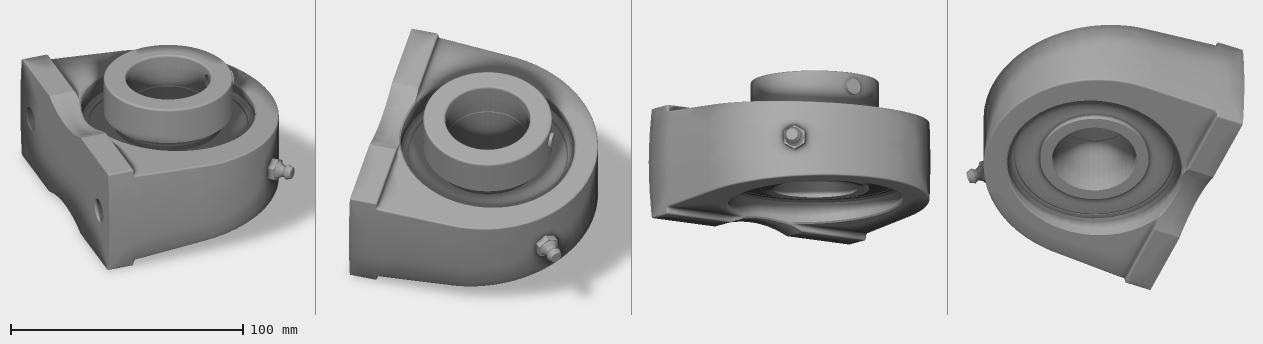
import cadquery as cq
import math


CLEARANCE = 5.4

TOLERANCE = 0.01
FACES_UP_OR_DOWN = 0.9

BASE_DEPTH = 47.6
BACK_DEPTH = 47.4
HALF_WIDTH = 54.0
FOOT_THICKNESS = 12.0
STEP_Y = FOOT_THICKNESS - BASE_DEPTH
FOOT_HALF_HEIGHT = 24.0
STEP_HALF_HEIGHT = 21.1
BACK_HALF_HEIGHT = 15.7
SHOULDER_HALF_WIDTH = 53.0
SHOULDER_Y = -4.3
SIDE_BULGE = 1.6
TAPER_START = 12.2
TAPER_START_OUTER = 16.8
EDGE_ROUND = 0.8
ROOT_ROUND = 0.9

WAIST_DEPTH = 4.0
WAIST_HALF_WIDTH = 19.0

MOUNT_HOLE_X = 41.4
MOUNT_HOLE_DIAMETER = 10.6
MOUNT_HOLE_DEPTH = 19.4
DRILL_HALF_ANGLE = math.radians(59)

RECESS_RADIUS = 37.6
RECESS_FLOOR_RADIUS = 36.6
RECESS_CHAMFER = 0.6
SEAT_SPHERE_RADIUS = 36.3

OUTER_RING_HALF_HEIGHT = 10.7
OUTER_RING_BORE_RADIUS = 29.5
OUTER_RING_CHAMFER = 0.6
SEAT_EDGE_RADIUS = math.sqrt(SEAT_SPHERE_RADIUS**2 - OUTER_RING_HALF_HEIGHT**2)

SIDES = (1, -1)
SEAL_RADIUS = 62.5 / 2
SEAL_THICKNESS = 1.6

BORE_RADIUS = 36.5 / 2
INNER_RING_TOP = 18.8
INNER_RING_RADIUS = 46.8 / 2
INNER_RING_LAND_TOP = 13.1
NECK_RADIUS = 44.2 / 2
INNER_BORE_CHAMFER = 0.4

COLLAR_RADIUS = 55.6 / 2
COLLAR_TOP = 33.9
COLLAR_BOTTOM = 17.3
COLLAR_ROUND = 1.0

SCREW_RADIUS = 6.8 / 2
SCREW_Z = 27.5
SCREW_INNER_END = 25.1
SCREW_OUTER_END = 29.2

NIPPLE_ANGLE = 45.0
STEM_RADIUS = 6.0 / 2
STEM_START = 44.3
HEX_START = 49.1
HEX_END = 52.1
HEX_CORNER_DIAMETER = 10.3
CONE_RADIUS = 4.1
CONE_END = 53.9
CONE_END_RADIUS = 2.8
NECK_WAIST = 55.2
NECK_WAIST_RADIUS = 2.4
HEAD_START = 56.5
HEAD_RADIUS = 3.3
NIPPLE_TIP = 58.6
NIPPLE_TIP_RADIUS = 2.5


def side_outline(height):
    """Plan outline of the housing at a height; the sides bow outwards towards mid height."""
    level = (height / FOOT_HALF_HEIGHT) ** 2
    inset = SIDE_BULGE * level
    foot_x = HALF_WIDTH - inset
    shoulder_x = SHOULDER_HALF_WIDTH - inset
    taper_y = TAPER_START + (TAPER_START_OUTER - TAPER_START) * level - BASE_DEPTH
    return (
        cq.Workplane("XY", origin=(0, 0, height))
        .moveTo(-foot_x, -BASE_DEPTH)
        .lineTo(foot_x, -BASE_DEPTH)
        .lineTo(foot_x, taper_y)
        .lineTo(shoulder_x, SHOULDER_Y)
        .threePointArc((0, BACK_DEPTH), (-shoulder_x, SHOULDER_Y))
        .lineTo(-foot_x, taper_y)
        .close()
        .val()
    )


def housing_blank():
    heights = (-FOOT_HALF_HEIGHT, 0, FOOT_HALF_HEIGHT)
    walls = cq.Workplane(cq.Solid.makeLoft([side_outline(height) for height in heights]))
    taper = (STEP_HALF_HEIGHT - BACK_HALF_HEIGHT) / (BACK_DEPTH - STEP_Y)
    beyond_back = BACK_DEPTH + CLEARANCE
    upper_points = [
        (-BASE_DEPTH, FOOT_HALF_HEIGHT),
        (STEP_Y, FOOT_HALF_HEIGHT),
        (STEP_Y, STEP_HALF_HEIGHT),
        (beyond_back, BACK_HALF_HEIGHT - taper * (beyond_back - BACK_DEPTH)),
    ]
    lower_points = [(y, -z) for y, z in reversed(upper_points)]
    profile = (
        cq.Workplane("YZ").polyline(upper_points + lower_points).close().extrude(2 * HALF_WIDTH, both=True)
    )
    return walls.intersect(profile)


def within(half_x, y_limits, half_z):
    """Selector for edges that lie wholly inside a box that is centred on x = 0 and z = 0."""
    corner = (half_x, y_limits[0], half_z)
    opposite = (-half_x, y_limits[1], -half_z)
    return cq.selectors.BoxSelector(corner, opposite, boundingbox=True)


def root_edges(blank):
    """The two inside corners where the housing meets the foot."""
    y_limits = (STEP_Y - EDGE_ROUND, STEP_Y + EDGE_ROUND)
    return blank.edges("|X").edges(within(2 * HALF_WIDTH, y_limits, STEP_HALF_HEIGHT + EDGE_ROUND))


def rim_edges(rooted):
    """Outer edges of the upper and lower sides, without the mounting face and the inside corners."""
    rims = []
    for face in rooted.faces("%PLANE").vals():
        if abs(face.normalAt().z) < FACES_UP_OR_DOWN:
            continue
        for edge in face.Edges():
            middle = edge.Center()
            on_mounting_face = abs(middle.y + BASE_DEPTH) < TOLERANCE
            in_root = abs(middle.x) < TOLERANCE and middle.y < 0 and abs(middle.z) < STEP_HALF_HEIGHT
            if not on_mounting_face and not in_root:
                rims.append(edge)
    return rims


def rounded_blank():
    blank = housing_blank()
    rooted = root_edges(blank).fillet(ROOT_ROUND)
    return rooted.newObject(rim_edges(rooted)).fillet(EDGE_ROUND)


def foot_waists():
    """Two cylinders along Y that hollow the top and bottom of the foot."""
    radius = (WAIST_HALF_WIDTH**2 + WAIST_DEPTH**2) / (2 * WAIST_DEPTH)
    centre_z = FOOT_HALF_HEIGHT - WAIST_DEPTH + radius
    return (
        cq.Workplane("XZ", origin=(0, STEP_Y + CLEARANCE, 0))
        .pushPoints([(0, centre_z), (0, -centre_z)])
        .circle(radius)
        .extrude(FOOT_THICKNESS + 2 * CLEARANCE)
    )


def mounting_holes():
    """Blind drilled holes with conical ends, opening on the mounting face."""
    radius = MOUNT_HOLE_DIAMETER / 2
    tip_depth = MOUNT_HOLE_DEPTH + radius / math.tan(DRILL_HALF_ANGLE)
    drill = (
        cq.Workplane("XY")
        .polyline([(0, 0), (radius, 0), (radius, MOUNT_HOLE_DEPTH), (0, tip_depth)])
        .close()
        .revolve(360, (0, 0, 0), (0, 1, 0))
    )
    left_drill = drill.translate((-MOUNT_HOLE_X, -BASE_DEPTH, 0))
    right_drill = drill.translate((MOUNT_HOLE_X, -BASE_DEPTH, 0))
    return left_drill.union(right_drill)


def turned(profile):
    """Revolve a closed profile of (radius, z) about the bearing axis."""
    return profile.close().revolve(360, (0, 0, 0), (0, 1, 0))


def seat_cutter():
    """Spherical seat with a cylindrical recess above and below it."""
    floor_z = OUTER_RING_HALF_HEIGHT
    wall_z = floor_z + RECESS_RADIUS - RECESS_FLOOR_RADIUS
    end_z = FOOT_HALF_HEIGHT + CLEARANCE
    return turned(
        cq.Workplane("XZ")
        .moveTo(0, -end_z)
        .lineTo(RECESS_RADIUS, -end_z)
        .lineTo(RECESS_RADIUS, -wall_z)
        .lineTo(RECESS_FLOOR_RADIUS, -floor_z)
        .lineTo(SEAT_EDGE_RADIUS, -floor_z)
        .threePointArc((SEAT_SPHERE_RADIUS, 0), (SEAT_EDGE_RADIUS, floor_z))
        .lineTo(RECESS_FLOOR_RADIUS, floor_z)
        .lineTo(RECESS_RADIUS, wall_z)
        .lineTo(RECESS_RADIUS, end_z)
        .lineTo(0, end_z)
    )


def recess_rims(housing):
    """Edges where the recess walls run out through the sloping upper and lower sides."""
    reach = RECESS_RADIUS + RECESS_CHAMFER
    return housing.edges("%ELLIPSE").edges(within(reach, (-reach, reach), STEP_HALF_HEIGHT + RECESS_CHAMFER))


def waist_rims(housing):
    """The short edges where the recess walls run out through the waists of the foot."""
    reach = RECESS_RADIUS + RECESS_CHAMFER
    return housing.edges(within(RECESS_RADIUS / 2, (-reach, STEP_Y), STEP_HALF_HEIGHT + RECESS_CHAMFER))


def make_housing():
    housing = rounded_blank().cut(foot_waists()).cut(mounting_holes()).cut(seat_cutter())
    housing = recess_rims(housing).chamfer(RECESS_CHAMFER)
    housing = waist_rims(housing).chamfer(RECESS_CHAMFER)
    return housing.cut(along_nipple(nipple_stem()))


def make_outer_ring():
    ring = turned(
        cq.Workplane("XZ")
        .moveTo(OUTER_RING_BORE_RADIUS, -OUTER_RING_HALF_HEIGHT)
        .lineTo(SEAT_EDGE_RADIUS, -OUTER_RING_HALF_HEIGHT)
        .threePointArc((SEAT_SPHERE_RADIUS, 0), (SEAT_EDGE_RADIUS, OUTER_RING_HALF_HEIGHT))
        .lineTo(OUTER_RING_BORE_RADIUS, OUTER_RING_HALF_HEIGHT)
    )
    ring = ring.faces("<Z or >Z").edges(cq.selectors.RadiusNthSelector(-1)).chamfer(OUTER_RING_CHAMFER)
    for side in SIDES:
        ring = ring.cut(seal_disc(side))
    return ring


def seal_disc(side):
    """Full disc flush with one face of the outer ring: side 1 is the upper one, -1 the lower one."""
    face = cq.Workplane("XY", origin=(0, 0, side * OUTER_RING_HALF_HEIGHT))
    return face.circle(SEAL_RADIUS).extrude(-side * SEAL_THICKNESS)


def make_seal(side):
    """Flat seal that fits closely round the inner ring."""
    inside = cq.Workplane("XY").circle(INNER_RING_RADIUS).extrude(2 * OUTER_RING_HALF_HEIGHT, both=True)
    return seal_disc(side).cut(inside)


def make_inner_ring():
    """Inner ring with a stepped-down neck at its upper end for the collar."""
    return turned(
        cq.Workplane("XZ").polyline(
            [
                (BORE_RADIUS, -INNER_RING_LAND_TOP),
                (INNER_RING_RADIUS, -INNER_RING_LAND_TOP),
                (INNER_RING_RADIUS, INNER_RING_LAND_TOP),
                (NECK_RADIUS, INNER_RING_LAND_TOP),
                (NECK_RADIUS, INNER_RING_TOP),
                (BORE_RADIUS + INNER_BORE_CHAMFER, INNER_RING_TOP),
                (BORE_RADIUS, INNER_RING_TOP - INNER_BORE_CHAMFER),
            ]
        )
    )


def make_collar():
    """Locking collar that fits over the upper neck of the inner ring."""
    collar = turned(
        cq.Workplane("XZ").polyline(
            [
                (NECK_RADIUS, COLLAR_BOTTOM),
                (COLLAR_RADIUS, COLLAR_BOTTOM),
                (COLLAR_RADIUS, COLLAR_TOP),
                (BORE_RADIUS, COLLAR_TOP),
                (BORE_RADIUS, INNER_RING_TOP),
                (NECK_RADIUS, INNER_RING_TOP),
            ]
        )
    )
    collar = collar.faces(">Z").edges().fillet(COLLAR_ROUND)
    return collar.cut(screw_cylinder(0, SCREW_OUTER_END))


def screw_cylinder(start, end):
    """Cylinder along +Y at the height of the set screw."""
    return cq.Workplane("XZ", origin=(0, start, SCREW_Z)).circle(SCREW_RADIUS).extrude(start - end)


def along_nipple(shape):
    """Turn a shape built along +X to the direction of the grease nipple."""
    return shape.rotate((0, 0, 0), (0, 0, 1), NIPPLE_ANGLE)


def nipple_stem():
    return cq.Workplane("YZ", origin=(STEM_START, 0, 0)).circle(STEM_RADIUS).extrude(HEX_START - STEM_START)


def make_nipple():
    hexagon = (
        cq.Workplane("YZ", origin=(HEX_START, 0, 0))
        .transformed(rotate=(0, 0, 90))
        .polygon(6, HEX_CORNER_DIAMETER)
        .extrude(HEX_END - HEX_START)
    )
    head = (
        cq.Workplane("XY")
        .polyline(
            [
                (HEX_END, 0),
                (HEX_END, CONE_RADIUS),
                (CONE_END, CONE_END_RADIUS),
                (NECK_WAIST, NECK_WAIST_RADIUS),
                (HEAD_START, HEAD_RADIUS),
                (NIPPLE_TIP, NIPPLE_TIP_RADIUS),
                (NIPPLE_TIP, 0),
            ]
        )
        .close()
        .revolve(360, (0, 0, 0), (1, 0, 0))
    )
    return along_nipple(nipple_stem().union(hexagon).union(head))


housing = make_housing()
outer_ring = make_outer_ring()
inner_ring = make_inner_ring()
seals = [make_seal(side) for side in SIDES]
collar = make_collar()
set_screw = screw_cylinder(SCREW_INNER_END, SCREW_OUTER_END)
grease_nipple = make_nipple()

result = cq.Compound.makeCompound(
    [
        housing.val(),
        outer_ring.val(),
        inner_ring.val(),
        *[seal.val() for seal in seals],
        collar.val(),
        set_screw.val(),
        grease_nipple.val(),
    ]
)